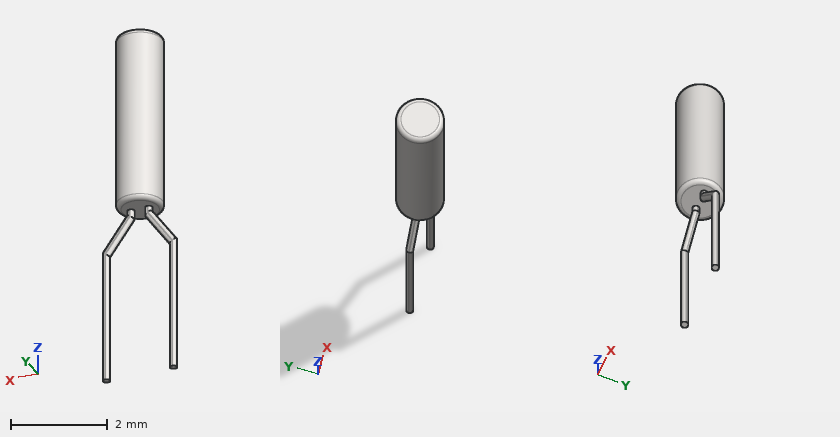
import cadquery as cq

total_height = 7.87
body_diameter = 1.0
body_height = 4.0
body_edge_radius = 0.1

wire_width = 0.15
wire_corner_radius = 0.069
lead_span = 1.65
root_spacing = 0.4
root_length = 0.15
splay_height = 0.77
root_embed = 0.08
cutter_size = 0.79

body_bottom = total_height - body_height
upper_bend_z = body_bottom - root_length
lower_bend_z = upper_bend_z - splay_height
root_x = root_spacing / 2
leg_x = (lead_span - wire_width) / 2


def make_body():
    """Upright cylinder with both rims rounded."""
    return (
        cq.Workplane("XY")
        .workplane(offset=body_bottom)
        .circle(body_diameter / 2)
        .extrude(body_height)
        .edges()
        .fillet(body_edge_radius)
    )


def make_upright_wire(x, bottom, top):
    """Vertical wire with a square section whose corners are rounded almost to a circle."""
    return (
        cq.Workplane("XY")
        .workplane(offset=bottom)
        .center(x, 0)
        .rect(wire_width, wire_width)
        .extrude(top - bottom)
        .edges("|Z")
        .fillet(wire_corner_radius)
    )


def make_tilted_cutter(x, z, slope, direction):
    """Block bounded by the plane through (x, 0, z) square to the slope, lying along the direction."""
    plane = cq.Plane(origin=(x, 0, z), xDir=(0, 1, 0), normal=slope.toTuple())
    return cq.Workplane(plane).rect(cutter_size, cutter_size).extrude(direction * cutter_size)


def make_lead(side):
    """One bent lead: leg, sloping stretch and root; side is -1 or +1 along X.

    Both joints lie square to the sloping stretch, which is therefore wider than the leg.
    """
    bend_x = side * leg_x
    top_x = side * root_x
    slope = cq.Vector(top_x - bend_x, 0, splay_height)

    leg = make_upright_wire(bend_x, 0, lower_bend_z + wire_width)
    leg = leg.cut(make_tilted_cutter(bend_x, lower_bend_z, slope, 1))

    joint_face = leg.faces(">Z").val()
    splay = cq.Workplane(cq.Solid.extrudeLinear(joint_face, slope))

    root = make_upright_wire(top_x, upper_bend_z - wire_width, body_bottom + root_embed)
    root = root.cut(make_tilted_cutter(top_x, upper_bend_z, slope, -1))

    return leg.union(splay).union(root)


result = make_body()
for side in (-1, 1):
    result = result.union(make_lead(side))